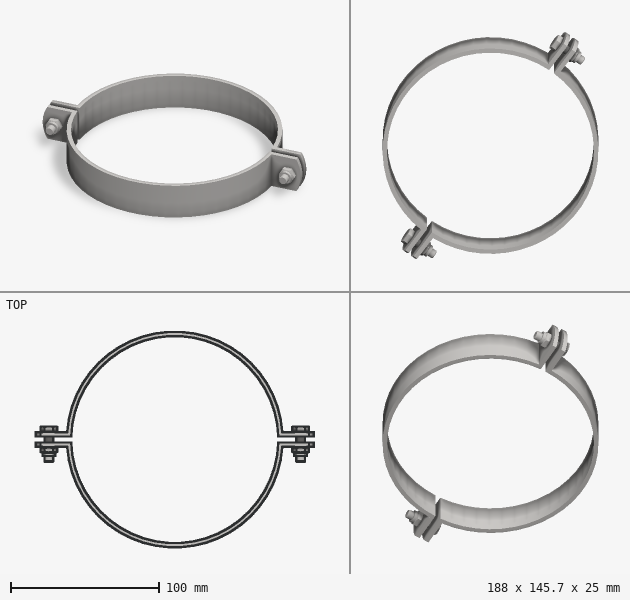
import cadquery as cq
import math

LENGTH = 188.0
WIDTH = 25.0
OUTER_DIAMETER = 145.7
THICKNESS = 3.0
GAP = 4.0
EAR_END_RADIUS = WIDTH

BOLT_SPACING = 170.0
HOLE_DIAMETER = 6.5
BOLT_DIAMETER = 6.0
BOLT_TIP_DIAMETER = 5.0
TIP_CHAMFER_LENGTH = 0.5
HEAD_HEIGHT = 4.0
HEAD_BEVEL_DIAMETER = 10.0
TIP_PROJECTION = 10.2

HEX_FLATS = 10.0
FACE_DIAMETER = 8.8
FACE_HEIGHT = 0.4

NUT_HEX_HEIGHT = 4.0
NUT_BEVEL_DIAMETER = 8.8
COLLAR_DIAMETER = 8.6
COLLAR_HEIGHT = 2.0

outer_radius = OUTER_DIAMETER / 2
inner_radius = outer_radius - THICKNESS
ear_inside = GAP / 2
ear_outside = ear_inside + THICKNESS
hex_corners = HEX_FLATS / math.cos(math.pi / 6)
nut_height = NUT_HEX_HEIGHT + COLLAR_HEIGHT
bevel_slope = math.tan(math.radians(30))


def rod(diameter, start_y, end_y):
    """Cylinder along Y, between two Y positions."""
    disc = cq.Workplane("XZ", origin=(0, end_y, 0)).circle(diameter / 2)
    return disc.extrude(end_y - start_y)


def hexagon(start_y, end_y, bevelled_ends, bevel_diameter):
    """Hexagonal prism along Y, two corners pointing along X, with bevelled corners at the chosen ends."""
    outline = cq.Workplane("XZ", origin=(0, end_y, 0)).polygon(6, hex_corners)
    prism = outline.extrude(end_y - start_y)
    corner_inset = (hex_corners - bevel_diameter) / 2
    envelope = rod(hex_corners, start_y, end_y).faces(bevelled_ends)
    envelope = envelope.chamfer(corner_inset * bevel_slope, corner_inset)
    return prism.intersect(envelope)


def half_outline():
    """Outline of the +Y half: a half ring with a straight ear at each end."""
    end_x = LENGTH / 2
    inner_x = math.sqrt(inner_radius**2 - ear_inside**2)
    outer_x = math.sqrt(outer_radius**2 - ear_outside**2)
    return (
        cq.Workplane("XY", origin=(0, 0, -WIDTH / 2))
        .moveTo(-end_x, ear_inside)
        .lineTo(-inner_x, ear_inside)
        .threePointArc((0, inner_radius), (inner_x, ear_inside))
        .lineTo(end_x, ear_inside)
        .lineTo(end_x, ear_outside)
        .lineTo(outer_x, ear_outside)
        .threePointArc((0, outer_radius), (-outer_x, ear_outside))
        .lineTo(-end_x, ear_outside)
        .close()
    )


def rounded_ends():
    """Block whose ends are arcs, used to trim the ears to shape."""
    tip_x = LENGTH / 2
    half_width = WIDTH / 2
    corner_x = tip_x - EAR_END_RADIUS + math.sqrt(EAR_END_RADIUS**2 - half_width**2)
    return (
        cq.Workplane("XZ")
        .moveTo(-corner_x, -half_width)
        .lineTo(corner_x, -half_width)
        .threePointArc((tip_x, 0), (corner_x, half_width))
        .lineTo(-corner_x, half_width)
        .threePointArc((-tip_x, 0), (-corner_x, -half_width))
        .close()
        .extrude(OUTER_DIAMETER, both=True)
    )


def make_clamp_half():
    """The +Y half of the clamp, with a bolt hole through each ear."""
    half = half_outline().extrude(WIDTH).intersect(rounded_ends())
    for side in (-1, 1):
        hole = rod(HOLE_DIAMETER, 0, 2 * ear_outside)
        half = half.cut(hole.translate((side * BOLT_SPACING / 2, 0, 0)))
    return half


def make_bolt():
    """Bolt pointing to -Y, with its head seated on the +Y ear."""
    tip_y = -ear_outside - TIP_PROJECTION
    tip_inset = (BOLT_DIAMETER - BOLT_TIP_DIAMETER) / 2
    shank = rod(BOLT_DIAMETER, tip_y, ear_outside)
    shank = shank.faces("<Y").chamfer(TIP_CHAMFER_LENGTH, tip_inset)
    face = rod(FACE_DIAMETER, ear_outside, ear_outside + FACE_HEIGHT)
    head_start = ear_outside + FACE_HEIGHT
    head_end = ear_outside + HEAD_HEIGHT
    head = hexagon(head_start, head_end, ">Y", HEAD_BEVEL_DIAMETER)
    return shank.union(face).union(head)


def make_nut():
    """Locking nut seated on the -Y ear, bevelled at both ends, with a collar on its free side."""
    seat_y = -ear_outside
    hex_end = seat_y - NUT_HEX_HEIGHT
    nut = hexagon(hex_end, seat_y, "<Y or >Y", NUT_BEVEL_DIAMETER)
    nut = nut.union(rod(COLLAR_DIAMETER, seat_y - nut_height, hex_end))
    return nut.cut(rod(BOLT_DIAMETER, seat_y - nut_height, seat_y))


back_half = make_clamp_half()
front_half = back_half.mirror("XZ")

bolts = []
nuts = []
for side in (-1, 1):
    place = (side * BOLT_SPACING / 2, 0, 0)
    bolts.append(make_bolt().translate(place).solids().val())
    nuts.append(make_nut().translate(place).solids().val())

result = cq.Compound.makeCompound([back_half.solids().val(), front_half.solids().val(), *bolts, *nuts])